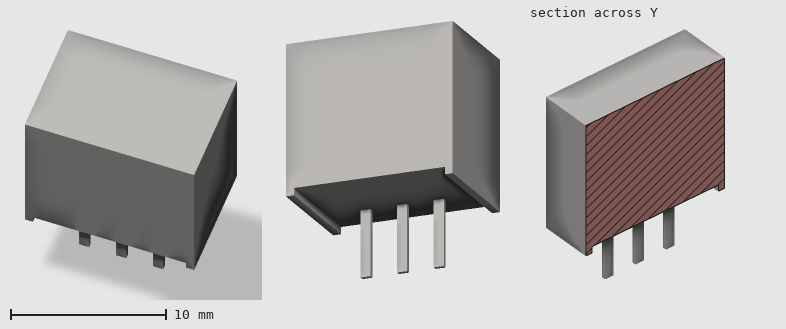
import cadquery as cq

body_length = 11.6
body_depth = 8.0
body_height = 10.4
rail_width = 0.55
rail_height = 0.5

pin_count = 3
pin_pitch = 2.54
pin_width = 0.7
pin_thickness = 0.3
pin_drop = 4.1
pin_row_from_front = 2.3

body_front_y = -pin_row_from_front
body_middle_y = body_front_y + body_depth / 2
pin_length = pin_drop + rail_height


def make_body():
    """Block with a shallow channel between the rails, open at front and back."""
    block = (
        cq.Workplane("XY")
        .center(0, body_middle_y)
        .rect(body_length, body_depth)
        .extrude(body_height)
    )
    channel = (
        cq.Workplane("XY")
        .center(0, body_middle_y)
        .rect(body_length - 2 * rail_width, body_depth)
        .extrude(rail_height)
    )
    return block.cut(channel)


def make_pin(x):
    """Flat pin hanging from the channel roof."""
    return (
        cq.Workplane("XY", origin=(x, 0, -pin_drop))
        .rect(pin_width, pin_thickness)
        .extrude(pin_length)
    )


result = make_body()
for index in range(pin_count):
    pin_x = (index - (pin_count - 1) / 2) * pin_pitch
    result = result.union(make_pin(pin_x))